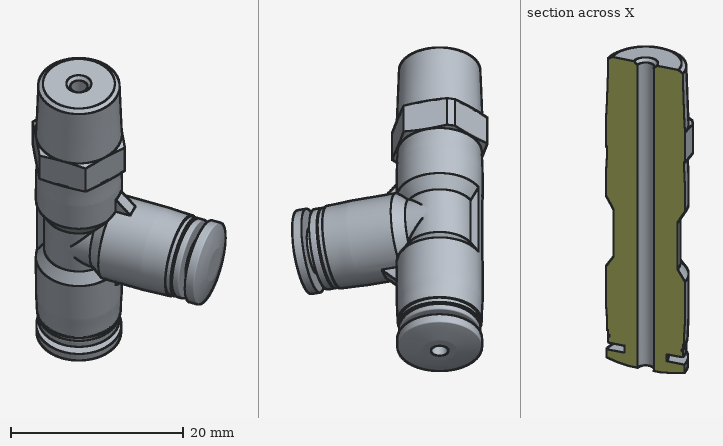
import cadquery as cq

total_height = 40.2
branch_height = 17.3
branch_reach = 16.95
body_radius = 10.0 / 2
neck_radius = 8.12 / 2

release_radius = 9.9 / 2
release_flat_radius = 4 / 2
crown_mid_radius = (release_radius + release_flat_radius) / 2
crown_mid_depth = 0.2
crown_depth = 0.52
edge_round = 0.15
release_depth = 1.7
stem_radius = 5.4 / 2
stem_depth = 2.55
ring_radius = 9.5 / 2
groove_start = 3.4
groove_end = 3.58
lip_depth = 4.2
taper_end_radius = 9.75 / 2
taper_depth = 7.2

lower_waist = 3.25
lower_shoulder = 4.7
upper_waist = 2.8
upper_shoulder = 4.45
branch_waist = 3.0
branch_shoulder = 4.45

collar_base = 25.3
collar_top_radius = 9.8 / 2
hex_base = 28.22
hex_top = 32.2
hex_across_flats = 2 * body_radius
hex_corner_radius = hex_across_flats / 3 ** 0.5
hex_chamfer = 0.15
hex_cut_distance = 5.5
hex_cut_angle = 120
thread_end_radius = 9.5 / 2
thread_chamfer_height = 0.35
thread_face_radius = 8.35 / 2
bore_radius = 2 / 2
bore_mouth_radius = 2.9 / 2

rib_width = 1.6
gusset_end = 6.75
gusset_half_height = 6.8


def port(reach, waist, shoulder):
    """Port revolved about Z, from the origin down to an end face at z = -reach."""
    arc_gap = edge_round * (1 - 0.5 ** 0.5)
    button_inset = release_radius - edge_round
    ring_inset = ring_radius - edge_round
    return (
        cq.Workplane("XZ")
        .moveTo(0, -reach)
        .lineTo(release_flat_radius, -reach)
        .threePointArc(
            (crown_mid_radius, crown_mid_depth - reach),
            (button_inset, crown_depth - reach),
        )
        .threePointArc(
            (release_radius - arc_gap, crown_depth + arc_gap - reach),
            (release_radius, crown_depth + edge_round - reach),
        )
        .lineTo(release_radius, release_depth - reach)
        .lineTo(stem_radius, release_depth - reach)
        .lineTo(stem_radius, stem_depth - reach)
        .lineTo(ring_inset, stem_depth - reach)
        .threePointArc(
            (ring_radius - arc_gap, stem_depth + arc_gap - reach),
            (ring_radius, stem_depth + edge_round - reach),
        )
        .lineTo(ring_radius, groove_start - edge_round - reach)
        .threePointArc(
            (ring_radius - arc_gap, groove_start - arc_gap - reach),
            (ring_inset, groove_start - reach),
        )
        .lineTo(ring_inset, groove_end - reach)
        .lineTo(ring_radius, groove_end - reach)
        .lineTo(ring_radius, lip_depth - reach)
        .lineTo(taper_end_radius, lip_depth - reach)
        .lineTo(body_radius, taper_depth - reach)
        .lineTo(body_radius, -shoulder)
        .lineTo(neck_radius, -waist)
        .lineTo(neck_radius, 0)
        .lineTo(0, 0)
        .close()
        .revolve(360, (0, 0), (0, 1))
    )


def revolve_outline(points):
    """Solid of revolution about Z from (radius, height) points."""
    return cq.Workplane("XZ").polyline(points).close().revolve(360, (0, 0), (0, 1))


def upper_body():
    """Upper waist, collar and tapered thread envelope."""
    return revolve_outline([
        (0, branch_height),
        (neck_radius, branch_height),
        (neck_radius, branch_height + upper_waist),
        (body_radius, branch_height + upper_shoulder),
        (body_radius, collar_base),
        (collar_top_radius, hex_base),
        (body_radius, hex_top),
        (thread_end_radius, total_height - thread_chamfer_height),
        (thread_face_radius, total_height),
        (0, total_height),
    ])


def hexagon():
    """Hexagon with a corner on X, conically chamfered corners and one corner cut flat."""
    prism = (
        cq.Workplane("XY", origin=(0, 0, hex_base))
        .polygon(6, 2 * hex_corner_radius)
        .extrude(hex_top - hex_base)
    )
    chamfer_envelope = revolve_outline([
        (0, hex_base),
        (body_radius, hex_base),
        (hex_corner_radius, hex_base + hex_chamfer),
        (hex_corner_radius, hex_top - hex_chamfer),
        (body_radius, hex_top),
        (0, hex_top),
    ])
    corner_cut = (
        cq.Workplane("XY")
        .box(hex_corner_radius, hex_across_flats, total_height, centered=(False, True, False))
        .translate((hex_cut_distance, 0, 0))
        .rotate((0, 0, 0), (0, 0, 1), hex_cut_angle)
    )
    return prism.intersect(chamfer_envelope).cut(corner_cut)


def back_rib():
    """Rib opposite the branch, bridging the waist flush with the body."""
    height = lower_shoulder + upper_shoulder
    base = branch_height - lower_shoulder
    block = cq.Workplane("XY").box(
        body_radius, rib_width, height, centered=(False, True, False)
    ).translate((-body_radius, 0, base))
    body_envelope = cq.Workplane("XY").circle(body_radius).extrude(height).translate((0, 0, base))
    return block.intersect(body_envelope)


def gussets():
    """Triangular webs in both corners between body and branch."""
    return (
        cq.Workplane("XZ", origin=(0, 0, branch_height))
        .polyline([
            (0, -gusset_half_height),
            (body_radius, -gusset_half_height),
            (gusset_end, -body_radius),
            (gusset_end, body_radius),
            (body_radius, gusset_half_height),
            (0, gusset_half_height),
        ])
        .close()
        .extrude(rib_width / 2, both=True)
    )


def bore():
    """Through bore along the main axis, countersunk at the threaded end."""
    mouth_depth = bore_mouth_radius - bore_radius
    return revolve_outline([
        (0, 0),
        (bore_radius, 0),
        (bore_radius, total_height - mouth_depth),
        (bore_mouth_radius, total_height),
        (0, total_height),
    ])


lower_port = port(branch_height, lower_waist, lower_shoulder).translate((0, 0, branch_height))
branch_port = (
    port(branch_reach, branch_waist, branch_shoulder)
    .rotate((0, 0, 0), (0, 1, 0), -90)
    .translate((0, 0, branch_height))
)

result = (
    upper_body()
    .union(lower_port)
    .union(branch_port)
    .union(hexagon())
    .union(back_rib())
    .union(gussets())
    .cut(bore())
)